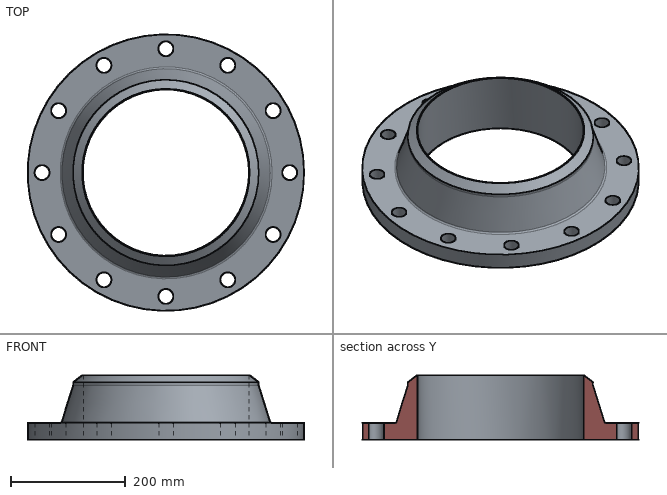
import cadquery as cq
import math

flange_diameter = 482.5
flange_thickness = 30.0

total_height = 113.0
hub_base_diameter = 364.7
neck_diameter = 323.5
neck_length = 5.5
hub_root_fillet = 3.5

bore_diameter = 289.5
bevel_land = 1.5
bevel_angle = 37.5

bolt_count = 12
bolt_circle_diameter = 432.0
bolt_hole_diameter = 25.5

flange_radius = flange_diameter / 2
hub_base_radius = hub_base_diameter / 2
neck_radius = neck_diameter / 2
bore_radius = bore_diameter / 2
land_radius = bore_radius + bevel_land
bevel_height = (neck_radius - land_radius) * math.tan(math.radians(bevel_angle))
neck_top = total_height - bevel_height
neck_bottom = neck_top - neck_length


def make_root_fillet():
    """Return the start, middle and end of the arc joining the flange face to the hub cone."""
    cone_angle = math.atan2(neck_bottom - flange_thickness, hub_base_radius - neck_radius)
    tangent_length = hub_root_fillet * math.tan(cone_angle / 2)
    center_r = hub_base_radius + tangent_length
    center_z = flange_thickness + hub_root_fillet

    def arc_point(turn):
        return (center_r - hub_root_fillet * math.sin(turn), center_z - hub_root_fillet * math.cos(turn))

    return arc_point(0), arc_point(cone_angle / 2), arc_point(cone_angle)


def make_body():
    """Revolve the flange, hub, neck and bevel section around the Z axis."""
    fillet_start, fillet_middle, fillet_end = make_root_fillet()
    return (
        cq.Workplane("XZ")
        .moveTo(bore_radius, 0)
        .lineTo(flange_radius, 0)
        .lineTo(flange_radius, flange_thickness)
        .lineTo(*fillet_start)
        .threePointArc(fillet_middle, fillet_end)
        .lineTo(neck_radius, neck_bottom)
        .lineTo(neck_radius, neck_top)
        .lineTo(land_radius, total_height)
        .lineTo(bore_radius, total_height)
        .close()
        .revolve(360, (0, 0, 0), (0, 1, 0))
    )


def make_bolt_holes():
    """Return the ring of through-hole cutters, the first one on the +X axis."""
    return (
        cq.Workplane("XY")
        .polarArray(bolt_circle_diameter / 2, 0, 360, bolt_count)
        .circle(bolt_hole_diameter / 2)
        .extrude(flange_thickness)
    )


result = make_body().cut(make_bolt_holes())